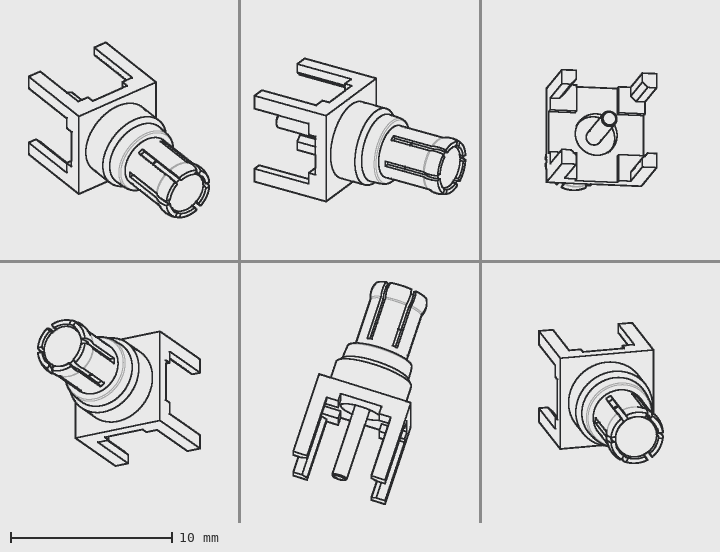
import cadquery as cq


flange_side = 5.99
leg_side = 0.905
leg_corner_chamfer = 0.33
pad_side = 1.66
pad_start = 3.94
flange_start = 4.435
flange_end = 5.22

pin_radius = 0.96 / 2
pin_chamfer = 0.07
recess_radius = 2.64 / 2
recess_depth = 0.82
recess_floor = flange_start + recess_depth

barrel_radius = 4.93 / 2
barrel_end = 6.985
cone_end = 7.29
shoulder_radius = 4.32 / 2
shoulder_end = 8.235
shoulder_tip_radius = 2.11
shoulder_sag = 0.02
shoulder_edge_radius = 0.085

sleeve_radius = 3.35 / 2
sleeve_wall = 0.29
sleeve_end = 12.52
bead_start = 11.505
bead_radius = 1.79
bead_blend_radius = 0.25
slot_count = 6
slot_width = 0.34
slot_start = 8.725

bore_radius = sleeve_radius - sleeve_wall
insulator_radius = 2.64 / 2
insulator_start = 9.935
insulator_end = 12.33


def box(x_start, x_end, y_size, z_size):
    """Box centred on the X axis between two X positions."""
    return (
        cq.Workplane("YZ")
        .workplane(offset=x_start)
        .rect(y_size, z_size)
        .extrude(x_end - x_start)
    )


def cylinder(x_start, x_end, radius):
    """Cylinder on the X axis between two X positions."""
    return cq.Workplane("YZ").workplane(offset=x_start).circle(radius).extrude(x_end - x_start)


def revolve_about_axis(profile):
    """Revolve an X-radius profile about the X axis."""
    return profile.close().revolve(360, (0, 0, 0), (1, 0, 0))


def flange():
    plate = box(flange_start, flange_end, flange_side, flange_side)
    pad_offset = (flange_side - pad_side) / 2
    leg_offset = (flange_side - leg_side) / 2
    pad = box(pad_start, flange_start, pad_side, pad_side).translate((0, pad_offset, pad_offset))
    leg = (
        box(0, pad_start, leg_side, leg_side)
        .edges("|X and <Y and <Z")
        .chamfer(leg_corner_chamfer)
        .translate((0, leg_offset, leg_offset))
    )
    corner = pad.union(leg)
    for quarter in range(4):
        plate = plate.union(corner.rotate((0, 0, 0), (1, 0, 0), 90 * quarter))
    return plate


def body():
    tip_start = shoulder_end - shoulder_edge_radius
    shoulder_middle = (
        (cone_end + tip_start) / 2,
        (shoulder_radius + shoulder_tip_radius) / 2 + shoulder_sag,
    )
    profile = (
        cq.Workplane("XY")
        .moveTo(flange_end, 0)
        .lineTo(flange_end, barrel_radius)
        .lineTo(barrel_end, barrel_radius)
        .lineTo(cone_end, shoulder_radius)
        .threePointArc(shoulder_middle, (tip_start, shoulder_tip_radius))
        .radiusArc((shoulder_end, shoulder_tip_radius - shoulder_edge_radius), shoulder_edge_radius)
        .lineTo(shoulder_end, 0)
    )
    return revolve_about_axis(profile)


def beaded_cylinder(radius, crown_radius):
    """Solid sleeve shape whose tip swells in an arc from radius to crown_radius and back."""
    bead_middle = (bead_start + sleeve_end) / 2
    profile = (
        cq.Workplane("XY")
        .moveTo(shoulder_end, 0)
        .lineTo(shoulder_end, radius)
        .lineTo(bead_start, radius)
        .threePointArc((bead_middle, crown_radius), (sleeve_end, radius))
        .lineTo(sleeve_end, 0)
    )
    return revolve_about_axis(profile)


def sleeve():
    outside = beaded_cylinder(sleeve_radius, bead_radius)
    bead_root = cq.selectors.NearestToPointSelector((bead_start, 0, 0))
    outside = outside.edges("%CIRCLE").edges(bead_root).fillet(bead_blend_radius)
    inside = beaded_cylinder(bore_radius, bead_radius - sleeve_wall)
    shell = outside.cut(inside)
    slot = box(slot_start, sleeve_end, bead_radius, slot_width).translate((0, bead_radius / 2, 0))
    for index in range(slot_count):
        shell = shell.cut(slot.rotate((0, 0, 0), (1, 0, 0), index * 360 / slot_count))
    return shell


def pin():
    return cylinder(0, recess_floor, pin_radius).faces("<X").chamfer(pin_chamfer)


recess = cylinder(flange_start, recess_floor, recess_radius)
sleeve_core = cylinder(shoulder_end, insulator_start, bore_radius)
insulator = cylinder(insulator_start, insulator_end, insulator_radius)

result = (
    flange()
    .union(body())
    .cut(recess)
    .union(pin())
    .union(sleeve())
    .union(sleeve_core)
    .union(insulator)
)